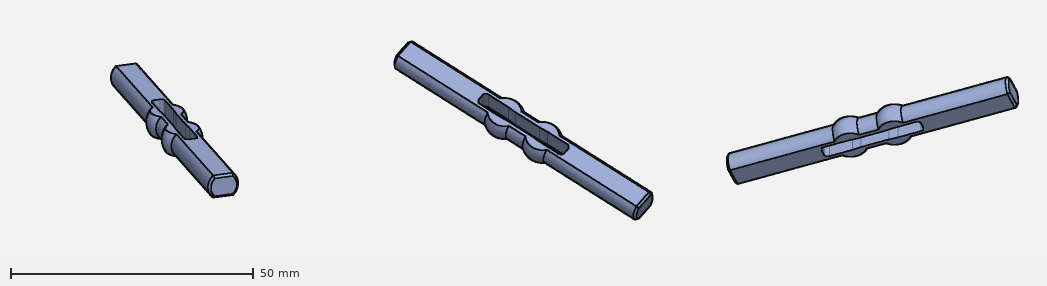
import cadquery as cq

bar_length = 62.5
bar_diameter = 6.6
flat_to_flat = 5
end_chamfer = 0.5

ball_diameter = 8.55
ball_spacing = 9.75

slot_length = 22.0
slot_width = 2.9
slot_corner_radius = 0.8
waist_width = 2.6
waist_length = 6.1
taper_length = 2.0


def flat_slab(length):
    """Slab between the two flats, wide enough to contain the balls."""
    return cq.Workplane("XY").box(length, 2 * ball_diameter, flat_to_flat)


def flatted_bar():
    bar = cq.Workplane("YZ").circle(bar_diameter / 2).extrude(bar_length / 2, both=True)
    return bar.intersect(flat_slab(bar_length)).faces("<X or >X").chamfer(end_chamfer)


def flatted_balls():
    balls = cq.Workplane("XY").pushPoints([(-ball_spacing / 2, 0), (ball_spacing / 2, 0)])
    return balls.sphere(ball_diameter / 2).intersect(flat_slab(bar_length))


def waisted_slot():
    slot_end = slot_length / 2
    slot_side = slot_width / 2
    waist_side = waist_width / 2
    waist_end = waist_length / 2
    taper_end = waist_end + taper_length
    upper_side = [
        (-slot_end, slot_side),
        (-taper_end, slot_side),
        (-waist_end, waist_side),
        (waist_end, waist_side),
        (taper_end, slot_side),
        (slot_end, slot_side),
    ]
    lower_side = [(x, -y) for x, y in reversed(upper_side)]
    slot = cq.Workplane("XY").polyline(upper_side + lower_side).close()
    slot = slot.extrude(flat_to_flat, both=True)
    return slot.edges("|Z and (<X or >X)").fillet(slot_corner_radius)


result = flatted_bar().union(flatted_balls()).cut(waisted_slot())